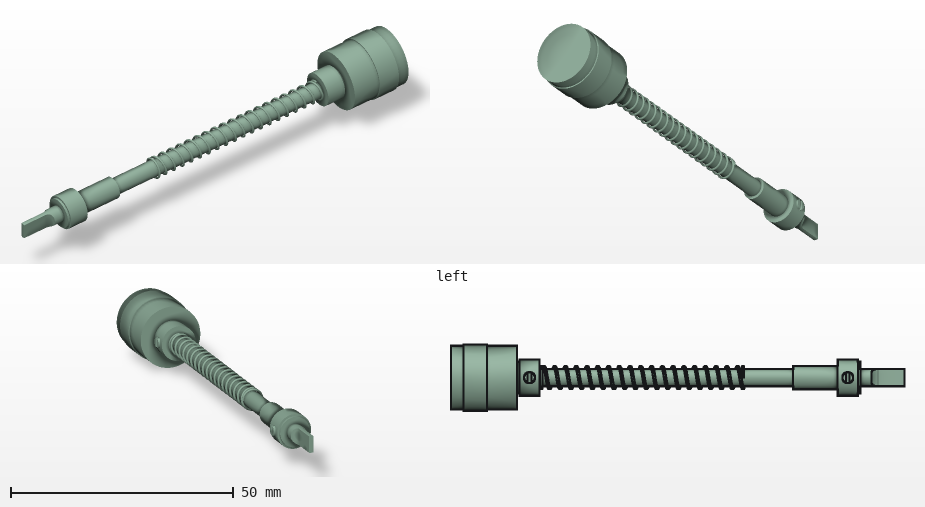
import cadquery as cq
import math

length = 102.0

knob_diameter = 14.4
knob_length = 14.9
band_diameter = 15.0
band_length = 5.3
band_setback = 2.9

shaft_diameter = 4.0
blade_thickness = 1.0
blade_length = 6.0

collar_diameter = 8.2
collar_width = 4.6
boss_diameter = 7.1
boss_height = 0.5
front_boss_face = 10.0

screw_diameter = 2.4
screw_reach = 4.5
slot_width = 0.8
slot_depth = 0.6

sleeve_diameter = 5.3
sleeve_length = 10.0

wire_diameter = 0.5
spring_pitch = 2.42
active_turns = 18.75
flat_turns = 0.75
points_per_turn = 12
end_clearance = 0.1

shaft_radius = shaft_diameter / 2
knob_front = length - knob_length
front_collar_back = front_boss_face + boss_height + collar_width
rear_collar_front = knob_front - boss_height - collar_width
spring_radius = shaft_radius + wire_diameter / 2 + end_clearance
spring_start = rear_collar_front - wire_diameter / 2 - end_clearance


def rod(diameter, y_start, rod_length):
    """Cylinder on the Y axis, running towards +Y from y_start."""
    plane = cq.Plane(origin=(0, y_start, 0), xDir=(1, 0, 0), normal=(0, 1, 0))
    return cq.Workplane(plane).circle(diameter / 2).extrude(rod_length)


def make_knob():
    band_start = length - band_setback - band_length
    return rod(knob_diameter, knob_front, knob_length).union(rod(band_diameter, band_start, band_length))


def make_shaft():
    half_blade = blade_thickness / 2
    cove_radius = shaft_radius - half_blade
    cove_back = blade_length + cove_radius
    arc_offset = cove_radius * (1 - math.sqrt(0.5))
    waste = (
        cq.Workplane("XY")
        .moveTo(half_blade, 0)
        .lineTo(half_blade, blade_length)
        .threePointArc((half_blade + arc_offset, cove_back - arc_offset), (shaft_radius, cove_back))
        .lineTo(shaft_radius, 0)
        .close()
        .extrude(shaft_radius, both=True)
    )
    return rod(shaft_diameter, 0, knob_front).cut(waste).cut(waste.mirror("YZ"))


def radial_pin(y_center):
    """Cylinder from the shaft surface out along -X."""
    plane = cq.Plane(origin=(-screw_reach, y_center, 0), xDir=(0, 1, 0), normal=(1, 0, 0))
    pin = cq.Workplane(plane).circle(screw_diameter / 2).extrude(screw_reach)
    return pin.cut(rod(shaft_diameter, y_center - screw_diameter, 2 * screw_diameter))


def make_collar(body_start, boss_start):
    collar = rod(collar_diameter, body_start, collar_width).union(rod(boss_diameter, boss_start, boss_height))
    bore = rod(shaft_diameter, min(body_start, boss_start), collar_width + boss_height)
    return collar.cut(bore).cut(radial_pin(body_start + collar_width / 2))


def make_set_screw(y_center):
    slot = (
        cq.Workplane("XY")
        .box(2 * slot_depth, slot_width, screw_diameter)
        .translate((-screw_reach, y_center, 0))
    )
    return radial_pin(y_center).cut(slot)


def make_sleeve():
    sleeve = rod(sleeve_diameter, front_collar_back, sleeve_length)
    return sleeve.cut(rod(shaft_diameter, front_collar_back, sleeve_length))


def make_spring():
    """Right-handed coil with flat part turns closing each end, wound along Z and then laid along -Y."""

    def coil_point(step):
        turn = step / points_per_turn - flat_turns
        angle = 2 * math.pi * turn
        height = spring_pitch * min(max(turn, 0), active_turns)
        return cq.Vector(spring_radius * math.cos(angle), spring_radius * math.sin(angle), height)

    steps = round(points_per_turn * (active_turns + 2 * flat_turns))
    start_angle = -2 * math.pi * flat_turns
    end_angle = 2 * math.pi * (active_turns + flat_turns)
    step_length = 2 * math.pi * spring_radius / points_per_turn
    start_direction = cq.Vector(-math.sin(start_angle), math.cos(start_angle), 0)
    end_direction = cq.Vector(-math.sin(end_angle), math.cos(end_angle), 0)
    coil = cq.Edge.makeSpline(
        [coil_point(step) for step in range(steps + 1)],
        tangents=[start_direction * step_length, end_direction * step_length],
        parameters=range(steps + 1),
        scale=False,
    )
    path = cq.Wire.assembleEdges([coil])
    section = cq.Plane(origin=coil_point(0), xDir=(0, 0, 1), normal=start_direction)
    spring = cq.Workplane(section).circle(wire_diameter / 2).sweep(path, isFrenet=True)
    return spring.rotate((0, 0, 0), (1, 0, 0), 90).translate((0, spring_start, 0))


knob = make_knob()
shaft = make_shaft()
sleeve = make_sleeve()
spring = make_spring()

collar_places = [
    (front_boss_face + boss_height, front_boss_face),
    (rear_collar_front, rear_collar_front + collar_width),
]
collars = []
set_screws = []
for body_start, boss_start in collar_places:
    collars.append(make_collar(body_start, boss_start))
    set_screws.append(make_set_screw(body_start + collar_width / 2))

bodies = [knob, shaft, sleeve, spring, *collars, *set_screws]
result = cq.Compound.makeCompound([body.solids().val() for body in bodies])